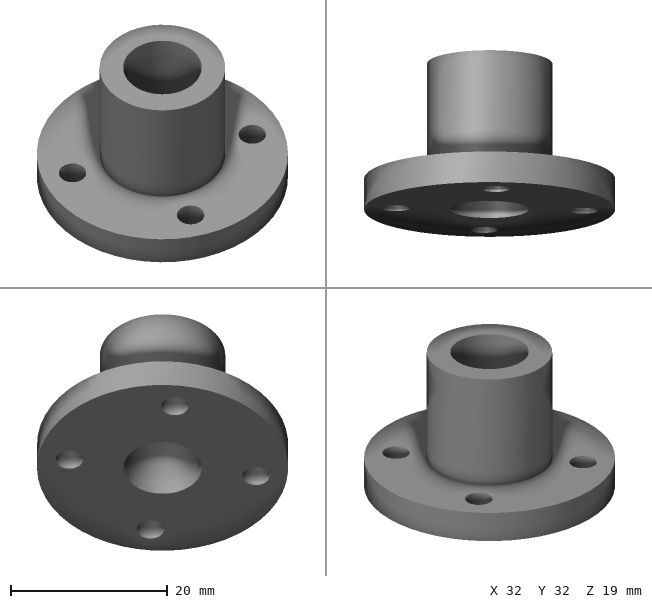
import cadquery as cq

flange_diameter = 32.0
flange_thickness = 4.0
total_height = 19.0
hub_diameter = flange_diameter / 2
bore_diameter = 10.0
bolt_hole_diameter = 3.5
bolt_circle_diameter = 24.0
bolt_hole_count = 4
first_bolt_angle = 45.0

flange = cq.Workplane("XY").circle(flange_diameter / 2).extrude(flange_thickness)

hub = cq.Workplane("XY").circle(hub_diameter / 2).extrude(total_height)

bore = cq.Workplane("XY").circle(bore_diameter / 2).extrude(total_height)

bolt_holes = (
    cq.Workplane("XY")
    .polarArray(bolt_circle_diameter / 2, first_bolt_angle, 360, bolt_hole_count)
    .circle(bolt_hole_diameter / 2)
    .extrude(flange_thickness)
)

result = flange.union(hub).cut(bore).cut(bolt_holes)